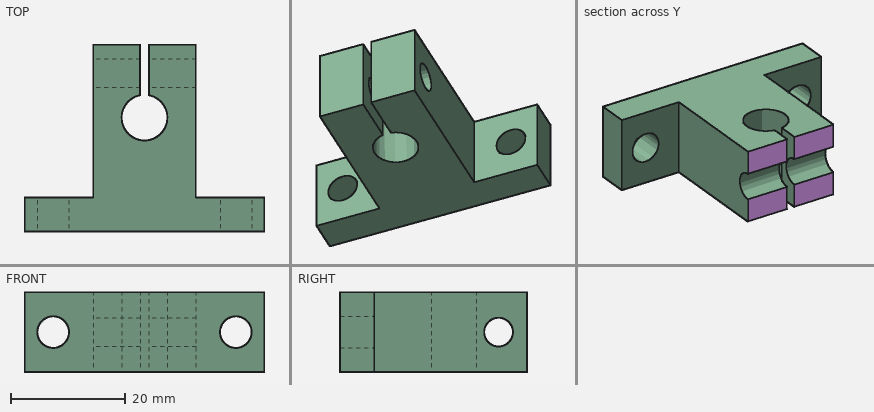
import cadquery as cq

flange_length = 42.0
flange_thickness = 6.0
height = 14.0
mount_hole_diameter = 5.5
mount_hole_spacing = 32.0

total_depth = 32.8
block_width = 18.0

bore_diameter = 8.0
bore_center_y = 20.0
slit_width = 1.5

screw_hole_diameter = 5.0
screw_to_back_face = 5.0


def box_from(width, y_start, y_end):
    """Full-height box centred on X, spanning y_start to y_end."""
    depth = y_end - y_start
    box = cq.Workplane("XY").box(width, depth, height, centered=(True, False, True))
    return box.translate((0, y_start, 0))


def make_body():
    flange = box_from(flange_length, 0, flange_thickness)
    block = box_from(block_width, 0, total_depth)
    return flange.union(block)


def make_bore_and_slit():
    bore = cq.Workplane("XY").center(0, bore_center_y).circle(bore_diameter / 2).extrude(height / 2, both=True)
    slit = box_from(slit_width, bore_center_y, total_depth)
    return bore.union(slit)


def make_screw_hole():
    screw_center_y = total_depth - screw_to_back_face
    return (
        cq.Workplane("YZ")
        .center(screw_center_y, 0)
        .circle(screw_hole_diameter / 2)
        .extrude(block_width / 2, both=True)
    )


def make_mount_holes():
    half_spacing = mount_hole_spacing / 2
    return (
        cq.Workplane("XZ")
        .pushPoints([(-half_spacing, 0), (half_spacing, 0)])
        .circle(mount_hole_diameter / 2)
        .extrude(-flange_thickness)
    )


result = make_body().cut(make_bore_and_slit()).cut(make_screw_hole()).cut(make_mount_holes())